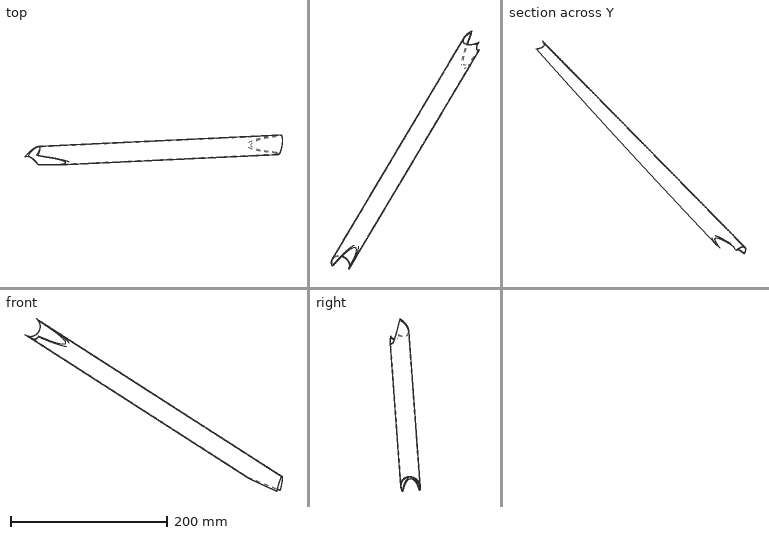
import cadquery as cq
import math

tube_diameter = 25.5
wall = 0.9
pitch_angle = 32.7
yaw_angle = 2.7
blank_end = 428.0
tube_radius = tube_diameter / 2
clearance = 131.7

saddle_radius = tube_radius
saddle_x = -9.5

side_saddle_x = -6.5
side_saddle_y = -12.5

scoop_start = 46.0
scoop_slope = 8.2
scoop_roll = 61.0
notch_start = 328.5
notch_slope = 9.5
notch_roll = 188.0

end_position = 370.0
end_normal = (1.0, -0.22, 0.32)


def make_tube():
    profile = cq.Workplane("YZ", origin=(saddle_x, 0, 0)).circle(tube_radius).circle(tube_radius - wall)
    return profile.extrude(blank_end - saddle_x)


def saddle_cutter():
    section = cq.Workplane("XZ", origin=(saddle_x, 0, 0)).circle(saddle_radius)
    cylinder = section.extrude(clearance / 2, both=True)
    return cylinder.rotate((0, 0, 0), (0, 0, 1), -yaw_angle)


def side_saddle_cutter():
    section = cq.Workplane("XY").center(side_saddle_x, side_saddle_y).circle(saddle_radius)
    return section.extrude(-clearance)


def sloping_cutter(start, slope, roll, towards):
    """Wedge above a plane that enters the tube at start and deepens along X in the sign of towards."""
    run = towards * clearance
    drop = clearance * math.tan(math.radians(slope))
    points = [
        (start, tube_radius),
        (start + run, tube_radius - drop),
        (start + run, clearance),
        (start, clearance),
    ]
    wedge = cq.Workplane("XZ").polyline(points).close().extrude(clearance / 2, both=True)
    return wedge.rotate((0, 0, 0), (1, 0, 0), roll)


def end_cutter():
    face = cq.Plane(origin=(end_position, 0, 0), normal=end_normal)
    return cq.Workplane(face).rect(clearance, clearance).extrude(clearance)


tube = make_tube()
tube = tube.cut(saddle_cutter())
tube = tube.cut(side_saddle_cutter())
tube = tube.cut(sloping_cutter(scoop_start, scoop_slope, scoop_roll, -1))
tube = tube.cut(sloping_cutter(notch_start, notch_slope, notch_roll, 1))
tube = tube.cut(end_cutter())

tube = tube.rotate((0, 0, 0), (0, 1, 0), pitch_angle).rotate((0, 0, 0), (0, 0, 1), yaw_angle)
result = tube.translate(tube.val().BoundingBox().center.multiply(-1))